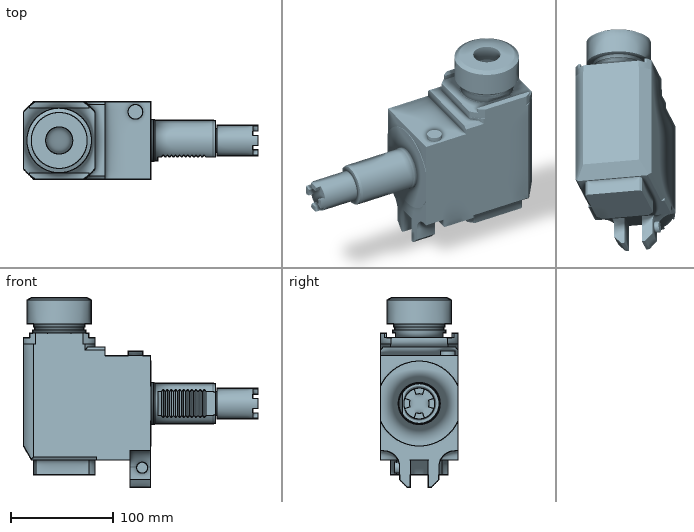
import cadquery as cq
import math


LENGTH = 229.85
WIDTH = 76.0
HEIGHT = 185.66

HALF_WIDTH = WIDTH / 2
BODY_LEFT = -124.6
BODY_BACK = 0.0
BODY_BOTTOM = -55.3
BACK_TOP = 47.0
STEP_TOP = 55.5
STEP_BACK = -44.6
STEP_CHAMFER = 3.0
COLUMN_TOP = 58.2
CORNER = 10.0
LEFT_BEVEL_RUN = 8.0
LEFT_BEVEL_ANGLE = 60.0
LEFT_BEVEL_RISE = LEFT_BEVEL_RUN * math.tan(math.radians(LEFT_BEVEL_ANGLE))
BOTTOM_BEVEL = 3.0
BOTTOM_BEVEL_END = -53.0

SPINDLE_X = -89.5
PLATE_LENGTH = 2 * (SPINDLE_X - BODY_LEFT)
COLUMN_BACK = BODY_LEFT + PLATE_LENGTH
PLATE_RADIUS = 44.6
PLATE_TOP = 64.5
EAR_TOP = 68.9
EAR_INNER_Y = 32.0
EAR_LENGTH = 58.0
BASE_RING_RADIUS = 27.1
BASE_RING_HEIGHT = 0.3
BASE_RING_TOP = PLATE_TOP + BASE_RING_HEIGHT
COLLAR_RADIUS = 26.0
COLLAR_FLAT_TOP = 69.2
COLLAR_FLAT_Y = 23.3
COLLAR_TOP = 72.1
GROOVE_RADIUS = 24.2
GROOVE_TOP = 74.8
NECK_RADIUS = 25.2
NUT_BOTTOM = 78.1
NUT_TOP = 103.66
NUT_RADIUS = 31.6
NUT_BEVEL_RUN = 4.2
NUT_BEVEL_RISE = 2.4
BORE_RADIUS = 13.3
BORE_DEPTH = 15.0

FOOT_LEFT = BODY_LEFT + CORNER
FOOT_BACK = COLUMN_BACK
FOOT_BOTTOM = -69.8
FOOT_HALF_WIDTH = 28.2
FOOT_LEFT_CHAMFER = 2.2
FOOT_BACK_CHAMFER = 5.7

LUG_LEFT = -20.4
LUG_BOTTOM = NUT_TOP - HEIGHT
LUG_HALF_WIDTH = 19.2
LUG_SLOT_HALF_WIDTH = 8.6
LUG_BEVEL = 7.4
RECESS_RADIUS = 16.0
RECESS_Z = -62.2
SCREW_X = -8.3
SCREW_Z = -62.8
SCREW_RADIUS = 5.4
SCREW_END_Y = 24.0

PIN_X = -14.9
PIN_Y = 28.0
PIN_RADIUS = 7.2
PIN_TOP = 51.3

PILOT_RADIUS = 41.6
PILOT_END = 0.5
FLANGE_RADIUS = 20.6
FLANGE_END = 3.0
FLANGE_CONE_END = 4.4
SHANK_RADIUS = 20.0
SHANK_END = 63.6
SHANK_TIP_LENGTH = 2.6
SHANK_TIP_STEP = 0.6
FLAT_Y = -16.2
FLAT_START = 7.2
TOOTH_COUNT = 11
TOOTH_PITCH = 4.0
TOOTH_FIRST_X = 12.4
TOOTH_DEPTH = 1.8
TOOTH_HALF_WIDTH = 1.8

GAP_RADIUS = 11.8
DRIVE_START = 64.8
DRIVE_END = BODY_LEFT + LENGTH
DRIVE_RADIUS = 15.1
TANG_HALF_ANGLE = 19.5
TANG_INNER_RADIUS = 9.6
DRIVE_SLOT_DEPTH = 5.2


def block(x0, x1, y0, y1, z0, z1):
    """Axis-aligned box between two corners."""
    return cq.Workplane("XY").box(x1 - x0, y1 - y0, z1 - z0, centered=False).translate((x0, y0, z0))


def wide_block(x0, x1, half_width, z0, z1):
    """Box symmetric about Y = 0."""
    return block(x0, x1, -half_width, half_width, z0, z1)


def disc_z(x, y, radius, z0, z1):
    """Vertical cylinder."""
    return cq.Workplane("XY", origin=(x, y, z0)).circle(radius).extrude(z1 - z0)


def disc_x(radius, x0, x1):
    """Cylinder on the shank axis."""
    return cq.Workplane("YZ", origin=(x0, 0, 0)).circle(radius).extrude(x1 - x0)


def make_housing():
    """Stepped block with a chamfered column under the spindle and bevelled lower edges."""
    lower = wide_block(BODY_LEFT, STEP_BACK, HALF_WIDTH, BODY_BOTTOM, STEP_TOP)
    lower = lower.edges("|X and >Z").chamfer(STEP_CHAMFER)
    rear = wide_block(STEP_BACK, BODY_BACK, HALF_WIDTH, BODY_BOTTOM, BACK_TOP)
    column = wide_block(BODY_LEFT, COLUMN_BACK, HALF_WIDTH, BACK_TOP, COLUMN_TOP)
    column = column.edges("|Z").chamfer(CORNER)
    housing = lower.union(column).union(rear)

    for side in (-1, 1):
        corner = (
            cq.Workplane("XY", origin=(0, 0, BODY_BOTTOM))
            .moveTo(BODY_LEFT, side * HALF_WIDTH)
            .lineTo(BODY_LEFT + CORNER, side * HALF_WIDTH)
            .lineTo(BODY_LEFT, side * (HALF_WIDTH - CORNER))
            .close()
            .extrude(COLUMN_TOP - BODY_BOTTOM)
        )
        bottom_bevel = (
            cq.Workplane("YZ", origin=(BODY_LEFT, 0, 0))
            .moveTo(side * HALF_WIDTH, BODY_BOTTOM)
            .lineTo(side * HALF_WIDTH, BODY_BOTTOM + BOTTOM_BEVEL)
            .lineTo(side * (HALF_WIDTH - BOTTOM_BEVEL), BODY_BOTTOM)
            .close()
            .extrude(BOTTOM_BEVEL_END - BODY_LEFT)
        )
        housing = housing.cut(corner).cut(bottom_bevel)

    left_bevel = (
        cq.Workplane("XZ")
        .moveTo(BODY_LEFT, BODY_BOTTOM)
        .lineTo(BODY_LEFT + LEFT_BEVEL_RUN, BODY_BOTTOM)
        .lineTo(BODY_LEFT, BODY_BOTTOM + LEFT_BEVEL_RISE)
        .close()
        .extrude(HALF_WIDTH, both=True)
    )
    return housing.cut(left_bevel)


def make_spindle_plate():
    """Plate with rounded corners and a raised ear along each Y side."""
    plate = wide_block(BODY_LEFT, COLUMN_BACK, HALF_WIDTH, COLUMN_TOP, PLATE_TOP)
    ear_left = SPINDLE_X - EAR_LENGTH / 2
    ear_right = SPINDLE_X + EAR_LENGTH / 2
    for y0, y1 in ((EAR_INNER_Y, HALF_WIDTH), (-HALF_WIDTH, -EAR_INNER_Y)):
        plate = plate.union(block(ear_left, ear_right, y0, y1, COLUMN_TOP, EAR_TOP))
    return plate.intersect(disc_z(SPINDLE_X, 0, PLATE_RADIUS, COLUMN_TOP, EAR_TOP))


def make_spindle():
    """Base ring, flatted collar, neck and bored clamping nut on the vertical axis."""
    spindle = (
        cq.Workplane("XZ")
        .moveTo(0, PLATE_TOP)
        .lineTo(BASE_RING_RADIUS, PLATE_TOP)
        .lineTo(BASE_RING_RADIUS, BASE_RING_TOP)
        .lineTo(COLLAR_RADIUS, BASE_RING_TOP)
        .lineTo(COLLAR_RADIUS, COLLAR_TOP)
        .lineTo(GROOVE_RADIUS, COLLAR_TOP)
        .lineTo(GROOVE_RADIUS, GROOVE_TOP)
        .lineTo(NECK_RADIUS, GROOVE_TOP)
        .lineTo(NECK_RADIUS, NUT_BOTTOM)
        .lineTo(NUT_RADIUS, NUT_BOTTOM)
        .lineTo(NUT_RADIUS, NUT_TOP - NUT_BEVEL_RISE)
        .lineTo(NUT_RADIUS - NUT_BEVEL_RUN, NUT_TOP)
        .lineTo(BORE_RADIUS, NUT_TOP)
        .lineTo(BORE_RADIUS, NUT_TOP - BORE_DEPTH)
        .lineTo(0, NUT_TOP - BORE_DEPTH)
        .close()
        .revolve(360, (0, 0, 0), (0, 1, 0))
        .translate((SPINDLE_X, 0, 0))
    )
    x0 = SPINDLE_X - COLLAR_RADIUS
    x1 = SPINDLE_X + COLLAR_RADIUS
    for y0, y1 in ((COLLAR_FLAT_Y, COLLAR_RADIUS), (-COLLAR_RADIUS, -COLLAR_FLAT_Y)):
        spindle = spindle.cut(block(x0, x1, y0, y1, BASE_RING_TOP, COLLAR_FLAT_TOP))
    return spindle


def make_foot():
    """Rectangular foot with chamfered vertical corners."""
    foot = wide_block(FOOT_LEFT, FOOT_BACK, FOOT_HALF_WIDTH, FOOT_BOTTOM, BODY_BOTTOM)
    foot = foot.edges("|Z and <X").chamfer(FOOT_LEFT_CHAMFER)
    return foot.edges("|Z and >X").chamfer(FOOT_BACK_CHAMFER)


def add_lug(body):
    """Recess both lower rear edges with an arc and add the forked lug and its screw."""
    recess_y = LUG_HALF_WIDTH + RECESS_RADIUS
    recess_top = RECESS_Z + RECESS_RADIUS
    lug = wide_block(LUG_LEFT, BODY_BACK, LUG_HALF_WIDTH, LUG_BOTTOM, BODY_BOTTOM)
    lug = lug.edges("|X and <Z").chamfer(LUG_BEVEL)
    web = wide_block(LUG_LEFT, BODY_BACK, HALF_WIDTH, RECESS_Z, BODY_BOTTOM)
    body = body.union(lug).union(web)
    for side in (-1, 1):
        round_recess = (
            cq.Workplane("YZ", origin=(LUG_LEFT, 0, 0))
            .center(side * recess_y, RECESS_Z)
            .circle(RECESS_RADIUS)
            .extrude(BODY_BACK - LUG_LEFT)
        )
        outer_y = sorted((side * recess_y, side * HALF_WIDTH))
        outer_recess = block(LUG_LEFT, BODY_BACK, *outer_y, RECESS_Z, recess_top)
        body = body.cut(round_recess).cut(outer_recess)

    screw = (
        cq.Workplane("XZ", origin=(SCREW_X, 0, SCREW_Z))
        .circle(SCREW_RADIUS)
        .extrude(SCREW_END_Y)
    )
    slot = wide_block(LUG_LEFT, BODY_BACK, LUG_SLOT_HALF_WIDTH, LUG_BOTTOM, BODY_BOTTOM)
    return body.union(screw).cut(slot)


def make_shank():
    """Flanged shank with a toothed flat on its -Y side and a thin pilot disc at its root."""
    pilot = disc_x(PILOT_RADIUS, BODY_BACK, PILOT_END)
    pilot = pilot.intersect(wide_block(BODY_BACK, PILOT_END, HALF_WIDTH, -PILOT_RADIUS, PILOT_RADIUS))
    shank = (
        cq.Workplane("XY")
        .moveTo(BODY_BACK, 0)
        .lineTo(BODY_BACK, FLANGE_RADIUS)
        .lineTo(FLANGE_END, FLANGE_RADIUS)
        .lineTo(FLANGE_CONE_END, SHANK_RADIUS)
        .lineTo(SHANK_END - SHANK_TIP_LENGTH, SHANK_RADIUS)
        .lineTo(SHANK_END, SHANK_RADIUS - SHANK_TIP_STEP)
        .lineTo(SHANK_END, 0)
        .close()
        .revolve(360, (0, 0, 0), (1, 0, 0))
    )
    flat = block(FLAT_START, SHANK_END, -SHANK_RADIUS, FLAT_Y, -SHANK_RADIUS, SHANK_RADIUS)
    shank = shank.cut(flat)
    for index in range(TOOTH_COUNT):
        valley_x = TOOTH_FIRST_X + index * TOOTH_PITCH
        groove = (
            cq.Workplane("XY")
            .moveTo(valley_x - TOOTH_HALF_WIDTH, FLAT_Y)
            .lineTo(valley_x, FLAT_Y + TOOTH_DEPTH)
            .lineTo(valley_x + TOOTH_HALF_WIDTH, FLAT_Y)
            .close()
            .extrude(SHANK_RADIUS, both=True)
        )
        shank = shank.cut(groove)
    return shank.union(pilot)


def make_drive_end():
    """Drive shaft whose hollow end is cut into four radial-sided tangs."""
    slot_floor = DRIVE_END - DRIVE_SLOT_DEPTH
    drive = disc_x(DRIVE_RADIUS, DRIVE_START, DRIVE_END)
    drive = drive.cut(disc_x(TANG_INNER_RADIUS, slot_floor, DRIVE_END))
    wedge_length = 2 * DRIVE_RADIUS
    wedge_half_width = wedge_length * math.tan(math.radians(45 - TANG_HALF_ANGLE))
    wedge = (
        cq.Workplane("YZ", origin=(slot_floor, 0, 0))
        .moveTo(0, 0)
        .lineTo(wedge_length, -wedge_half_width)
        .lineTo(wedge_length, wedge_half_width)
        .close()
        .extrude(DRIVE_SLOT_DEPTH)
    )
    for quarter in range(4):
        angle = 45 + 90 * quarter
        drive = drive.cut(wedge.rotate((0, 0, 0), (1, 0, 0), angle))
    return drive.union(disc_x(GAP_RADIUS, SHANK_END, DRIVE_START))


body = add_lug(make_housing().union(make_foot()))
body = body.union(make_spindle_plate()).union(make_spindle())
locating_pin = disc_z(PIN_X, PIN_Y, PIN_RADIUS, BACK_TOP, PIN_TOP)
body = body.union(locating_pin)
result = body.union(make_shank()).union(make_drive_end())